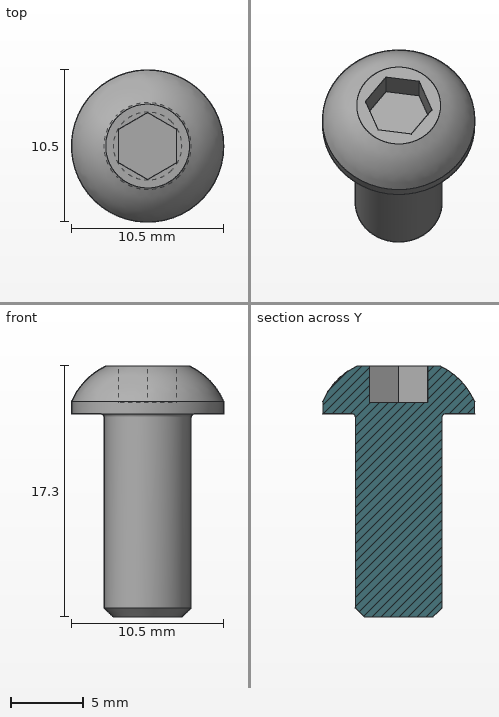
import cadquery as cq
import math

total_length = 17.3
head_height = 3.3
head_radius = 10.5 / 2
rim_height = 0.85
crown_radius = 2.89
dome_radius = 4.85

shank_radius = 6.0 / 2
neck_fillet = 0.25
tip_radius = 2.35
tip_height = 0.62

socket_flats = 4.0
socket_depth = 2.5

head_base = total_length - head_height
rim_top = head_base + rim_height


def dome_midpoint():
    """Middle of the outward bulging arc from the rim to the crown."""
    dr = crown_radius - head_radius
    dz = total_length - rim_top
    chord = math.hypot(dr, dz)
    bulge = dome_radius - math.sqrt(dome_radius**2 - (chord / 2)**2)
    middle_r = (head_radius + crown_radius) / 2
    middle_z = (rim_top + total_length) / 2
    return (middle_r + bulge * dz / chord, middle_z - bulge * dr / chord)


def screw_body():
    """Half profile turned about the Z axis."""
    neck_base = head_base - neck_fillet
    profile = (
        cq.Workplane("XZ")
        .lineTo(tip_radius, 0)
        .lineTo(shank_radius, tip_height)
        .lineTo(shank_radius, neck_base)
        .tangentArcPoint((shank_radius + neck_fillet, head_base), relative=False)
        .lineTo(head_radius, head_base)
        .lineTo(head_radius, rim_top)
        .threePointArc(dome_midpoint(), (crown_radius, total_length))
        .lineTo(0, total_length)
        .close()
    )
    return profile.revolve(360, (0, 0, 0), (0, 1, 0))


def hex_socket():
    """Hexagonal recess with two corners on the Y axis."""
    across_corners = socket_flats / math.cos(math.radians(30))
    return (
        cq.Workplane("XY", origin=(0, 0, total_length - socket_depth))
        .transformed(rotate=(0, 0, 90))
        .polygon(6, across_corners)
        .extrude(socket_depth)
    )


result = screw_body().cut(hex_socket())